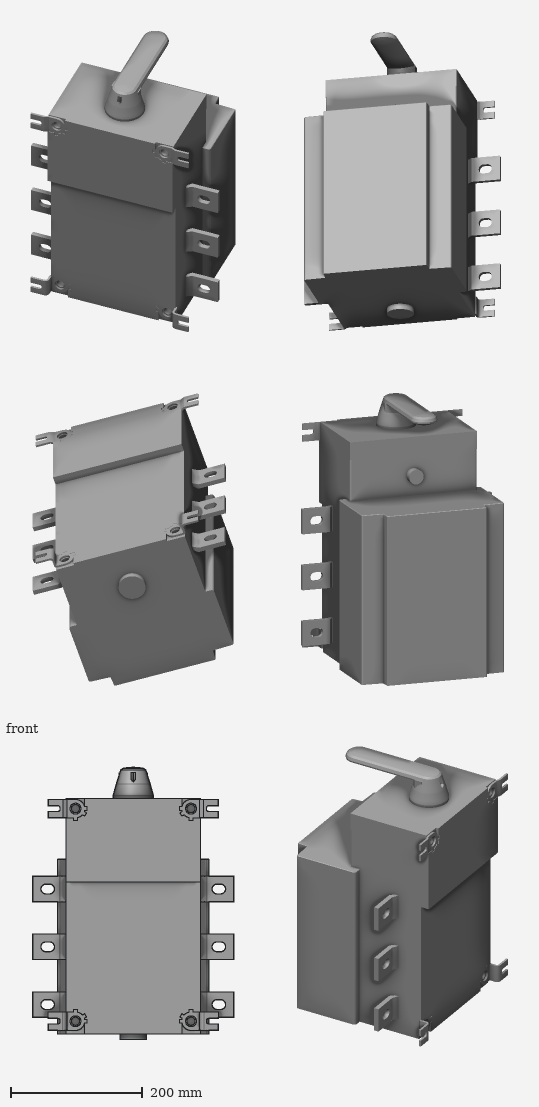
import cadquery as cq
import math

HALF_SPAN = 152.8

HALF_WIDTH = 102.3
TOP = 358.0
REAR = 78.2
UPPER_FRONT = -60.5
LOWER_FRONT = -47.0
STEP_HEIGHT = 231.0
CAP_BASE = 330.5
REAR_EDGE_RADIUS = 2.5

SHELL_HALF_WIDTH = 115.0
SHELL_FRONT = 61.5
SHELL_SHOULDER = 166.0
SHELL_REAR = 184.2
SHELL_TOP = 265.8
RIDGE_HALF_WIDTH = 80.5
SHELL_FRONT_RADIUS = 4.0
SHELL_SHOULDER_RADIUS = 2.5
RIDGE_RADIUS = 1.2
SHELL_TOP_CHAMFER = 1.0
SHELL_DRAFT = 1.2

REAR_STUB_DIAMETER = 23.0
REAR_STUB_END = 91.5
REAR_STUB_HEIGHT = 298
BOTTOM_STUB_DIAMETER = 41.0
BOTTOM_STUB_Y = 16.0
BOTTOM_STUB_LENGTH = 8.5

TERMINAL_PITCH = 87.8
MIDDLE_TERMINAL_Z = 132.5
TERMINAL_HEIGHT = 39.0
TERMINAL_REAR = 6.0
TERMINAL_THICKNESS = 7.5
TERMINAL_JOG = 5.5
TERMINAL_BEND_X = 108.5
TERMINAL_BEND_RADIUS = 2.5
TERMINAL_BEND_ANGLE = 45
TERMINAL_ROOT = 4.0
TERMINAL_SLOT_X = 130.0
TERMINAL_SLOT_LENGTH = 20.3
TERMINAL_SLOT_WIDTH = 14.5

FOOT_TIP_X = 129.0
FOOT_HEIGHT = 28.0
FOOT_FRONT = -62.5
FOOT_THICKNESS = 3.5
FOOT_BEND_X = 107.0
FOOT_BEND_INNER_X = 100.5
UPPER_FOOT_Z = 342.5
LOWER_FOOT_Z = 19.5
FOOT_SLOT_END_X = 111.5
FOOT_SLOT_WIDTH = 8.3
FOOT_SLOT_RADIUS = 3.0
LEG_OUTER_X = 104.5
LEG_SEAT_BEND_RADIUS = 1.0
LEG_FOOT_BEND_RADIUS = 3.5
SCREW_X = 87.8
EYE_RADIUS = 14.0
TAB_REACH = 18.0
TAB_WIDTH = 6.0
TAB_ANGLES = (90, 150, 180)
FOOT_HOLE_DIAMETER = 16.5
SCREW_HOLE_DIAMETER = 12.5
SCREW_HOLE_DEPTH = 12.5
UPPER_SEAT_DEPTH = 4.0
LOWER_SEAT_DEPTH = 3.7

KNOB_RADIUS = 30.5
KNOB_RIM = 4.0
COLLAR_RADIUS = 25.5
COLLAR_Z = 380.0
LEVER_TOP = TOP + 47.0
SHOULDER_Z = 401.0
SHOULDER_RADIUS = 19.0
CROWN_Z = 403.5
CROWN_RADIUS = 15.7
LEVER_EDGE_Z = 396.5
LEVER_HALF_WIDTH = 20.5
LEVER_SIDE_Z = 394.0
LEVER_SIDE_HALF_WIDTH = 20.3
LEVER_BOTTOM = 388.5
LEVER_LENGTH = 123.8
NECK_RADIUS = 25.0
NECK_HALF_WIDTH = 22.0
MARK_HALF_WIDTH = 3.7
MARK_TOP = 397.5
MARK_SHOULDER = 387.0
MARK_BOTTOM = 383.0
MARK_FLOOR = 16.5


def box(x0, x1, y0, y1, z0, z1):
    return cq.Workplane("XY").box(x1 - x0, y1 - y0, z1 - z0, centered=False).translate((x0, y0, z0))


def centred_box(half_width, y0, y1, z0, z1):
    return box(-half_width, half_width, y0, y1, z0, z1)


def both_sides(solid):
    return solid.union(solid.mirror("YZ"))


def along_y(sketch_plane_y, x, z):
    """Workplane at the given Y whose local axes are X and Z; extrusion runs toward -Y."""
    return cq.Workplane("XZ", origin=(x, sketch_plane_y, z))


def make_housing():
    lower = centred_box(HALF_WIDTH, LOWER_FRONT, REAR, 0, CAP_BASE)
    lower = lower.edges("|Z and >Y").fillet(REAR_EDGE_RADIUS)
    cap = centred_box(HALF_WIDTH, LOWER_FRONT, REAR, CAP_BASE, TOP)
    front_block = centred_box(HALF_WIDTH, UPPER_FRONT, LOWER_FRONT, STEP_HEIGHT, TOP)
    return lower.union(cap).union(front_block)


def make_shell():
    """Stepped block whose rear ridge stands between two slightly drafted shoulders."""
    right_half = (
        cq.Workplane("XY")
        .polyline([
            (0, SHELL_FRONT),
            (SHELL_HALF_WIDTH, SHELL_FRONT),
            (SHELL_HALF_WIDTH, SHELL_SHOULDER),
            (RIDGE_HALF_WIDTH + SHELL_DRAFT, SHELL_SHOULDER + SHELL_DRAFT),
            (RIDGE_HALF_WIDTH, SHELL_REAR),
            (0, SHELL_REAR),
        ])
        .close()
        .extrude(SHELL_TOP)
    )
    shell = both_sides(right_half)
    shell = shell.edges("|Z and <Y").fillet(SHELL_FRONT_RADIUS)
    for x, y, radius in (
        (SHELL_HALF_WIDTH, SHELL_SHOULDER, SHELL_SHOULDER_RADIUS),
        (RIDGE_HALF_WIDTH, SHELL_REAR, RIDGE_RADIUS),
    ):
        for side in (-1, 1):
            corner = cq.selectors.NearestToPointSelector((side * x, y, SHELL_TOP / 2))
            shell = shell.edges("|Z").edges(corner).fillet(radius)
    return shell.faces(">Z").chamfer(SHELL_TOP_CHAMFER)


def make_stubs():
    rear = along_y(REAR_STUB_END, 0, REAR_STUB_HEIGHT)
    rear = rear.circle(REAR_STUB_DIAMETER / 2).extrude(REAR_STUB_END - SHELL_FRONT)
    bottom = cq.Workplane("XY", origin=(0, BOTTOM_STUB_Y, -BOTTOM_STUB_LENGTH))
    bottom = bottom.circle(BOTTOM_STUB_DIAMETER / 2).extrude(2 * BOTTOM_STUB_LENGTH)
    return rear.union(bottom)


def make_terminal(z):
    """Right-hand terminal: a slotted strip jogged forward where it enters the housing."""
    front = TERMINAL_REAR - TERMINAL_THICKNESS
    bend_shift = TERMINAL_THICKNESS * math.tan(math.radians(TERMINAL_BEND_ANGLE / 2))
    inner_x = HALF_WIDTH - TERMINAL_ROOT
    strip = (
        cq.Workplane("XY", origin=(0, 0, z - TERMINAL_HEIGHT / 2))
        .polyline([
            (HALF_SPAN, TERMINAL_REAR),
            (TERMINAL_BEND_X, TERMINAL_REAR),
            (TERMINAL_BEND_X - TERMINAL_JOG, TERMINAL_REAR - TERMINAL_JOG),
            (inner_x, TERMINAL_REAR - TERMINAL_JOG),
            (inner_x, front - TERMINAL_JOG),
            (HALF_WIDTH, front - TERMINAL_JOG),
            (TERMINAL_BEND_X + bend_shift, front),
            (HALF_SPAN, front),
        ])
        .close()
        .extrude(TERMINAL_HEIGHT)
    )
    bend = cq.selectors.NearestToPointSelector((TERMINAL_BEND_X + bend_shift, front, z))
    strip = strip.edges("|Z").edges(bend).fillet(TERMINAL_BEND_RADIUS)
    slot = along_y(TERMINAL_REAR, TERMINAL_SLOT_X, z)
    slot = slot.slot2D(TERMINAL_SLOT_LENGTH, TERMINAL_SLOT_WIDTH).extrude(TERMINAL_THICKNESS)
    return strip.cut(slot)


def eye_with_tabs(front, thickness, z, tab_side):
    """Round eye of a foot with three tabs; tab_side is +1 for tabs above it, -1 for below."""
    rear = front + thickness
    eye = along_y(rear, SCREW_X, z).circle(EYE_RADIUS).extrude(thickness)
    for angle in TAB_ANGLES:
        tab = along_y(rear, SCREW_X + TAB_REACH / 2, z).rect(TAB_REACH, TAB_WIDTH).extrude(thickness)
        tab = tab.rotate((SCREW_X, 0, z), (SCREW_X, -1, z), tab_side * angle)
        eye = eye.union(tab)
    return eye


def seat_cutter(face, depth, z, tab_side):
    """Recess for the foot: the eye outline and an open corner out to the housing edge."""
    eye = eye_with_tabs(face, depth, z, tab_side)
    outer_z = z - tab_side * FOOT_HEIGHT
    corner = box(SCREW_X - EYE_RADIUS, FOOT_TIP_X, face, face + depth, min(z, outer_z), max(z, outer_z))
    edge = box(SCREW_X, FOOT_TIP_X, face, face + depth, z - FOOT_HEIGHT / 2, z + FOOT_HEIGHT / 2)
    return eye.union(corner).union(edge)


def make_foot(seat_front, strip, z, tab_side):
    """Join a foot strip to its eye, then cut the screw hole and the open slot."""
    foot = strip.union(eye_with_tabs(seat_front, FOOT_THICKNESS, z, tab_side))
    hole = along_y(seat_front + FOOT_THICKNESS, SCREW_X, z)
    foot = foot.cut(hole.circle(FOOT_HOLE_DIAMETER / 2).extrude(FOOT_THICKNESS))
    half_slot = FOOT_SLOT_WIDTH / 2
    foot_rear = FOOT_FRONT + FOOT_THICKNESS
    slot = box(FOOT_SLOT_END_X, FOOT_TIP_X, FOOT_FRONT, foot_rear, z - half_slot, z + half_slot)
    return foot.cut(slot.edges("|Y and <X").fillet(FOOT_SLOT_RADIUS))


def make_upper_foot(seat_front):
    """Strip with a shallow jog at the housing edge."""
    strip = (
        cq.Workplane("XY", origin=(0, 0, UPPER_FOOT_Z - FOOT_HEIGHT / 2))
        .polyline([
            (SCREW_X, seat_front),
            (FOOT_BEND_INNER_X, seat_front),
            (FOOT_BEND_X, FOOT_FRONT),
            (FOOT_TIP_X, FOOT_FRONT),
            (FOOT_TIP_X, FOOT_FRONT + FOOT_THICKNESS),
            (FOOT_BEND_X, FOOT_FRONT + FOOT_THICKNESS),
            (FOOT_BEND_INNER_X, seat_front + FOOT_THICKNESS),
            (SCREW_X, seat_front + FOOT_THICKNESS),
        ])
        .close()
        .extrude(FOOT_HEIGHT)
    )
    return make_foot(seat_front, strip, UPPER_FOOT_Z, -1)


def make_lower_foot(seat_front):
    """Z-shaped strip whose leg reaches forward to the plane of the upper feet."""
    leg_inner_x = LEG_OUTER_X - FOOT_THICKNESS
    z0 = LOWER_FOOT_Z - FOOT_HEIGHT / 2
    z1 = LOWER_FOOT_Z + FOOT_HEIGHT / 2
    seat_rear = seat_front + FOOT_THICKNESS
    foot_rear = FOOT_FRONT + FOOT_THICKNESS
    strip = box(SCREW_X, LEG_OUTER_X, seat_front, seat_rear, z0, z1)
    strip = strip.union(box(leg_inner_x, LEG_OUTER_X, FOOT_FRONT, seat_rear, z0, z1))
    strip = strip.union(box(leg_inner_x, FOOT_TIP_X, FOOT_FRONT, foot_rear, z0, z1))
    for x, y, radius in (
        (LEG_OUTER_X, seat_rear, LEG_SEAT_BEND_RADIUS + FOOT_THICKNESS),
        (leg_inner_x, seat_front, LEG_SEAT_BEND_RADIUS),
        (leg_inner_x, FOOT_FRONT, LEG_FOOT_BEND_RADIUS + FOOT_THICKNESS),
        (LEG_OUTER_X, foot_rear, LEG_FOOT_BEND_RADIUS),
    ):
        bend = cq.selectors.NearestToPointSelector((x, y, LOWER_FOOT_Z))
        strip = strip.edges("|Z").edges(bend).fillet(radius)
    return make_foot(seat_front, strip, LOWER_FOOT_Z, 1)


def make_screw_hole(seat_floor, z):
    hole = along_y(seat_floor + SCREW_HOLE_DEPTH, SCREW_X, z)
    return hole.circle(SCREW_HOLE_DIAMETER / 2).extrude(SCREW_HOLE_DEPTH)


def mid_drop(half_width, drop):
    """Drop halfway out along a circular arc that falls by `drop` over `half_width`."""
    radius = (half_width**2 + drop**2) / (2 * drop)
    return radius - math.sqrt(radius**2 - (half_width / 2) ** 2)


def crown_point():
    """Point halfway along the arched top of the knob and lever."""
    return (CROWN_RADIUS / 2, LEVER_TOP - mid_drop(CROWN_RADIUS, LEVER_TOP - CROWN_Z))


def make_knob():
    """Turned knob: low rim, two cones and a domed top."""
    profile = (
        cq.Workplane("XZ")
        .moveTo(0, TOP - KNOB_RIM)
        .lineTo(KNOB_RADIUS, TOP - KNOB_RIM)
        .lineTo(KNOB_RADIUS, TOP + KNOB_RIM)
        .lineTo(COLLAR_RADIUS, COLLAR_Z)
        .lineTo(SHOULDER_RADIUS, SHOULDER_Z)
        .lineTo(CROWN_RADIUS, CROWN_Z)
        .threePointArc(crown_point(), (0, LEVER_TOP))
        .close()
    )
    return profile.revolve(360, (0, 0, 0), (0, 1, 0))


def lever_half_section():
    """Right half of the lens-shaped lever section, drawn at the tip centre."""
    keel_rise = mid_drop(LEVER_SIDE_HALF_WIDTH, LEVER_SIDE_Z - LEVER_BOTTOM)
    return (
        cq.Workplane("XZ", origin=(0, LEVER_LENGTH, 0))
        .moveTo(0, LEVER_BOTTOM)
        .threePointArc(
            (LEVER_SIDE_HALF_WIDTH / 2, LEVER_BOTTOM + keel_rise),
            (LEVER_SIDE_HALF_WIDTH, LEVER_SIDE_Z),
        )
        .lineTo(LEVER_HALF_WIDTH, LEVER_EDGE_Z)
        .lineTo(SHOULDER_RADIUS, SHOULDER_Z)
        .lineTo(CROWN_RADIUS, CROWN_Z)
        .threePointArc(crown_point(), (0, LEVER_TOP))
        .close()
    )


def make_lever():
    """Straight bar from the knob axis, ending in a round tip."""
    bar = both_sides(lever_half_section().extrude(LEVER_LENGTH))
    tip = lever_half_section().revolve(360, (0, 0, 0), (0, 1, 0))
    return bar.union(tip)


def make_neck():
    """Half-round post under the lever, flattened on both sides."""
    post = cq.Workplane("XY", origin=(0, 0, COLLAR_Z)).circle(NECK_RADIUS).extrude(LEVER_EDGE_Z - COLLAR_Z)
    return post.intersect(centred_box(NECK_HALF_WIDTH, 0, NECK_RADIUS, COLLAR_Z, LEVER_EDGE_Z))


def make_mark():
    """Arrow-shaped pocket in the front of the knob, with a V-shaped floor."""
    outline = (
        along_y(-MARK_FLOOR, 0, 0)
        .polyline([
            (-MARK_HALF_WIDTH, MARK_TOP),
            (MARK_HALF_WIDTH, MARK_TOP),
            (MARK_HALF_WIDTH, MARK_SHOULDER),
            (0, MARK_BOTTOM),
            (-MARK_HALF_WIDTH, MARK_SHOULDER),
        ])
        .close()
        .extrude(KNOB_RADIUS)
    )
    wedge = (
        cq.Workplane("XY", origin=(0, 0, MARK_BOTTOM))
        .polyline([
            (0, -MARK_FLOOR),
            (KNOB_RADIUS, -MARK_FLOOR - KNOB_RADIUS),
            (-KNOB_RADIUS, -MARK_FLOOR - KNOB_RADIUS),
        ])
        .close()
        .extrude(MARK_TOP - MARK_BOTTOM)
    )
    return outline.intersect(wedge)


upper_floor = UPPER_FRONT + UPPER_SEAT_DEPTH
lower_floor = LOWER_FRONT + LOWER_SEAT_DEPTH

result = make_housing().union(make_shell()).union(make_stubs())

for step in (-1, 0, 1):
    result = result.union(both_sides(make_terminal(MIDDLE_TERMINAL_Z + step * TERMINAL_PITCH)))

result = result.cut(both_sides(seat_cutter(UPPER_FRONT, UPPER_SEAT_DEPTH, UPPER_FOOT_Z, -1)))
result = result.cut(both_sides(seat_cutter(LOWER_FRONT, LOWER_SEAT_DEPTH, LOWER_FOOT_Z, 1)))
result = result.cut(both_sides(make_screw_hole(upper_floor, UPPER_FOOT_Z)))
result = result.cut(both_sides(make_screw_hole(lower_floor, LOWER_FOOT_Z)))
result = result.union(both_sides(make_upper_foot(upper_floor - FOOT_THICKNESS)))
result = result.union(both_sides(make_lower_foot(lower_floor - FOOT_THICKNESS)))

result = result.union(make_knob().cut(make_mark())).union(make_lever()).union(make_neck())